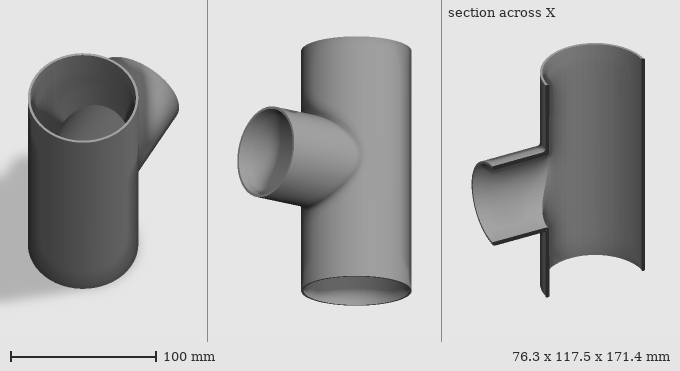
import cadquery as cq

run_length = 171.4
run_diameter = 76.3
wall = 1.7

branch_diameter = 63.6
overall_depth = 117.5
branch_reach = overall_depth - run_diameter / 2

junction_radius = 2.0


def run_cylinder(diameter):
    return cq.Workplane("XY").circle(diameter / 2).extrude(run_length / 2, both=True)


def branch_cylinder(diameter):
    """Cylinder from the run axis to the open end of the branch."""
    return cq.Workplane("XZ").circle(diameter / 2).extrude(-branch_reach)


outer = run_cylinder(run_diameter).union(branch_cylinder(branch_diameter))
junction_region = cq.selectors.BoxSelector(
    (-run_diameter, 0, -branch_diameter),
    (run_diameter, run_diameter / 2 + wall, branch_diameter),
)
outer = outer.edges(junction_region).edges("not %LINE").fillet(junction_radius)

run_bore = run_cylinder(run_diameter - 2 * wall)
branch_bore = branch_cylinder(branch_diameter - 2 * wall)

result = outer.cut(run_bore).cut(branch_bore)